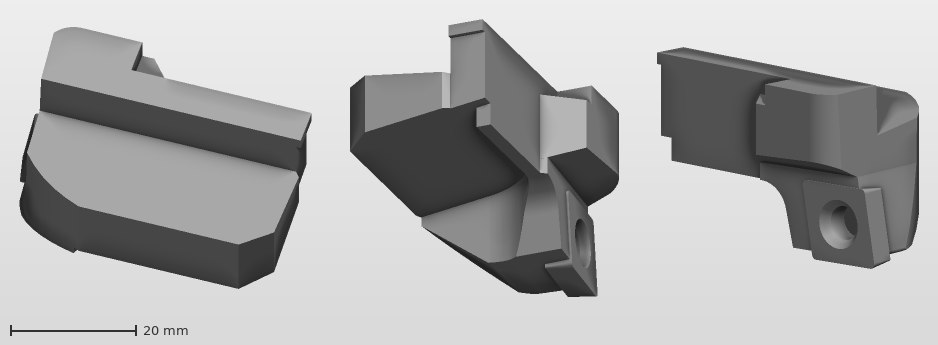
import cadquery as cq
import math

length = 48
depth = 30.9
height = 28.5
margin = 4.8

rail_front = 19.0
rail_back = 24.95
floor_front_z = 22.95
floor_rail_z = 20.4
block_bottom_z = 11.75
floor_slope = (floor_front_z - floor_rail_z) / rail_front
end_chamfer = 4.5
end_corner_x = 0.75
end_corner_y = 1.05
lip_depth = 0.9
lip_z = 26.65

head_x = 17.9
ledge_z = 25.1
ledge_end_x = 19.9
ledge_rail_x = 24.8
head_left_x = 3.1
head_radius = 4.8
underside_z = 17.75
underside_rise = 0.46
underside_fall = 0.05
head_front = 22.55

nose_back_y = 23.8
nose_back_end_x = 24
nose_root_z = 15.85
nose_front_y = 0.45
nose_step_z = 10.3
nose_heel_y = 12.05
nose_heel_z = 1.75
nose_bottom_z = 1.25
nose_tip_y = 15.85
nose_wall_x = 15.85
nose_edge_round = 0.55
relief_radius = 10.1
relief_start_y = 12.5
relief_end_x = nose_wall_x + relief_radius
relief_end_y = relief_start_y + relief_radius
tongue_bottom_z = 11.35
tongue_end_x = 44.77
neck_foot_x = 17.15
neck_lean_x = 18.55
neck_lean_z = 7.3
neck_arc_x = 20.45
neck_arc_z = 10.25
neck_end_x = 23.7

side_break_z = 14.5
side_x = 4.28
side_plan_slope = 0.09
side_upper_slope = 0.03
side_lower_slope = 0.179

curve_start = (2.3, 14.9)
curve_middle = (7.3, 6.7)
curve_end = (16.8, 0)

insert_angle = 80
insert_circle = 12.7
insert_thickness = 4.75
insert_clearance = 7
insert_tilt = 5
insert_corner_radius = 0.8
insert_hole_d = 5.5
insert_sink_d = 7.95
insert_sink_depth = 1.45
insert_tip_y = 24.2


def side_profile(points, x_start, x_end):
    """Prism along X from (y, z) points."""
    return cq.Workplane("YZ").workplane(offset=x_start).polyline(points).close().extrude(x_end - x_start)


def slab(x_range, y_range, z_range):
    """Box from its limits along each axis."""
    size = [high - low for low, high in (x_range, y_range, z_range)]
    return cq.Workplane("XY").box(*size, centered=False).translate((x_range[0], y_range[0], z_range[0]))


def make_shank():
    bottom_at_rail_back = block_bottom_z + floor_slope * rail_back
    points = [
        (0, block_bottom_z),
        (0, floor_front_z),
        (rail_front, floor_rail_z),
        (rail_front, height),
        (rail_back, height),
        (rail_back, bottom_at_rail_back),
    ]
    shank = side_profile(points, 0, length)
    tongue = slab(
        (relief_end_x, tongue_end_x),
        (relief_end_y, rail_back),
        (tongue_bottom_z, floor_rail_z),
    )
    lip_recess = slab((length - lip_depth, length + margin), (rail_front, depth), (0, lip_z))
    front_corner = (
        cq.Workplane("XY")
        .polyline([(length - end_chamfer, 0), (length, 0), (length, end_chamfer)])
        .close()
        .extrude(height)
    )
    rail_corner = (
        cq.Workplane("XY")
        .polyline([
            (length, rail_front - end_corner_y),
            (length, rail_front),
            (length - end_corner_x, rail_front),
        ])
        .close()
        .extrude(lip_z)
    )
    return shank.union(tongue).cut(lip_recess).cut(front_corner).cut(rail_corner)


def make_head():
    arc_x = head_left_x + head_radius
    arc_y = depth - head_radius
    arc_reach = head_radius * math.sqrt(0.5)
    plan = (
        cq.Workplane("XY")
        .moveTo(head_left_x, head_front)
        .lineTo(head_left_x, arc_y)
        .threePointArc((arc_x - arc_reach, arc_y + arc_reach), (arc_x, depth))
        .lineTo(ledge_end_x, depth)
        .lineTo(ledge_rail_x, rail_back)
        .lineTo(ledge_rail_x, head_front)
        .close()
        .extrude(height)
    )

    def section(x):
        back_z = underside_z - underside_fall * x
        front_z = back_z - underside_rise * (depth - head_front)
        points = [(head_front, front_z), (depth, back_z), (depth, height), (head_front, height)]
        return cq.Wire.makePolygon([cq.Vector(x, y, z) for y, z in points], close=True)

    above_underside = cq.Workplane(obj=cq.Solid.makeLoft([section(0), section(ledge_rail_x)], True))
    ledge = slab((head_x, length), (rail_back, depth), (ledge_z, height))
    return plan.intersect(above_underside).cut(ledge)


def make_nose():
    points = [
        (nose_front_y, block_bottom_z + floor_slope * rail_front),
        (nose_front_y, nose_step_z),
        (nose_heel_y, nose_heel_z),
        (nose_tip_y, nose_bottom_z),
        (depth, nose_bottom_z),
        (depth, nose_root_z),
    ]
    neck = (
        cq.Workplane("XZ")
        .moveTo(0, 0)
        .lineTo(neck_foot_x, 0)
        .lineTo(neck_foot_x, nose_bottom_z)
        .lineTo(neck_lean_x, neck_lean_z)
        .threePointArc((neck_arc_x, neck_arc_z), (neck_end_x, tongue_bottom_z))
        .lineTo(relief_end_x, tongue_bottom_z)
        .lineTo(relief_end_x, height)
        .lineTo(0, height)
        .close()
        .extrude(-depth)
    )
    back_end_y = nose_back_y + nose_back_end_x * math.tan(math.radians(insert_tilt))
    reach = relief_radius * math.sqrt(0.5)
    plan = (
        cq.Workplane("XY")
        .lineTo(nose_wall_x, 0)
        .lineTo(nose_wall_x, relief_start_y)
        .threePointArc((relief_end_x - reach, relief_start_y + reach), (relief_end_x, relief_end_y))
        .lineTo(relief_end_x, rail_back)
        .lineTo(ledge_rail_x, rail_back)
        .lineTo(nose_back_end_x, back_end_y)
        .lineTo(0, nose_back_y)
        .close()
        .extrude(height)
    )
    return side_profile(points, 0, length).intersect(neck).intersect(plan)


def side_cutter(z_start, z_end, slope):
    """Wedge that trims the -X side between two heights, leaning with the given slope."""
    def section(z):
        face_x = side_x + slope * (z - side_break_z)
        front = (face_x + side_plan_slope * (rail_front + margin), -margin)
        back = (face_x - side_plan_slope * (depth + margin - rail_front), depth + margin)
        points = [(-margin, front[1]), front, back, (-margin, back[1])]
        return cq.Wire.makePolygon([cq.Vector(x, y, z) for x, y in points], close=True)

    return cq.Workplane(obj=cq.Solid.makeLoft([section(z_start), section(z_end)], True))


def clearance_cutter():
    """Upright cylindrical trim at the front left corner."""
    return (
        cq.Workplane("XY")
        .moveTo(*curve_start)
        .threePointArc(curve_middle, curve_end)
        .lineTo(curve_end[0], -margin)
        .lineTo(-margin, -margin)
        .lineTo(-margin, curve_start[1])
        .close()
        .extrude(height)
    )


def place_insert(shape):
    """Tilt the insert about Z and bring its rounded cutting corner to x = 0."""
    half_angle = math.radians(insert_angle / 2)
    corner_gap = insert_corner_radius * (1 / math.tan(half_angle) - 1)
    return shape.rotate((0, 0, 0), (0, 0, 1), insert_tilt).translate((-corner_gap, insert_tip_y, 0))


def insert_outline():
    """Rounded rhombus on the rake face, cutting corner at the origin."""
    angle = math.radians(insert_angle)
    edge = insert_circle / math.sin(angle)
    lean = insert_circle / math.tan(angle)
    corners = [(0, 0), (edge, 0), (edge + lean, insert_circle), (lean, insert_circle)]
    rhombus = cq.Sketch().polygon(corners + corners[:1]).vertices().fillet(insert_corner_radius)
    return cq.Workplane("XZ").placeSketch(rhombus)


def make_insert_blank():
    return place_insert(insert_outline().extrude(insert_thickness, taper=insert_clearance))


def make_insert():
    half_angle = math.radians(insert_angle / 2)
    center = (insert_circle / 2 / math.tan(half_angle), insert_circle / 2)
    hole = cq.Workplane("XZ").center(*center).circle(insert_hole_d / 2).extrude(insert_thickness)
    countersink = cq.Workplane(obj=cq.Solid.makeCone(
        insert_sink_d / 2,
        insert_hole_d / 2,
        insert_sink_depth,
        cq.Vector(center[0], 0, center[1]),
        cq.Vector(0, -1, 0),
    ))
    return make_insert_blank().cut(place_insert(hole)).cut(place_insert(countersink))


def make_holder():
    holder = make_shank().union(make_head()).union(make_nose())
    holder = holder.cut(side_cutter(side_break_z, height + margin, side_upper_slope))
    holder = holder.cut(side_cutter(-margin, side_break_z, side_lower_slope))
    cutting_edge = cq.selectors.BoxSelector((0, nose_tip_y, 0), (head_left_x, depth, nose_step_z))
    bottom_edges = holder.edges(cutting_edge).edges("<Z")
    holder = bottom_edges.fillet(nose_edge_round)
    holder = holder.cut(clearance_cutter())
    return holder.cut(make_insert_blank())


holder = make_holder()
insert = make_insert()

result = cq.Compound.makeCompound([holder.val(), insert.val()])